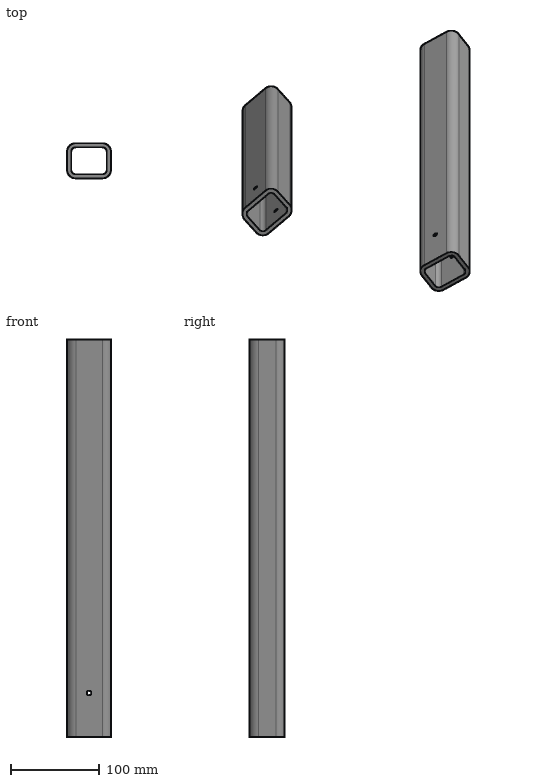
import cadquery as cq

length = 450.0
width = 50.0
depth = 40.0
wall = 5.0
outer_radius = 10.0
inner_radius = outer_radius - wall

hole_diameter = 5.0
hole_height = 50.0


def rounded_bar(size_x, size_y, corner_radius):
    """Full-length bar with rounded vertical edges, standing on Z = 0."""
    bar = cq.Workplane("XY").rect(size_x, size_y).extrude(length)
    return bar.edges("|Z").fillet(corner_radius)


outer = rounded_bar(width, depth, outer_radius)
bore = rounded_bar(width - 2 * wall, depth - 2 * wall, inner_radius)

cross_hole = (
    cq.Workplane("XZ")
    .center(0, hole_height)
    .circle(hole_diameter / 2)
    .extrude(depth, both=True)
)

result = outer.cut(bore).cut(cross_hole)